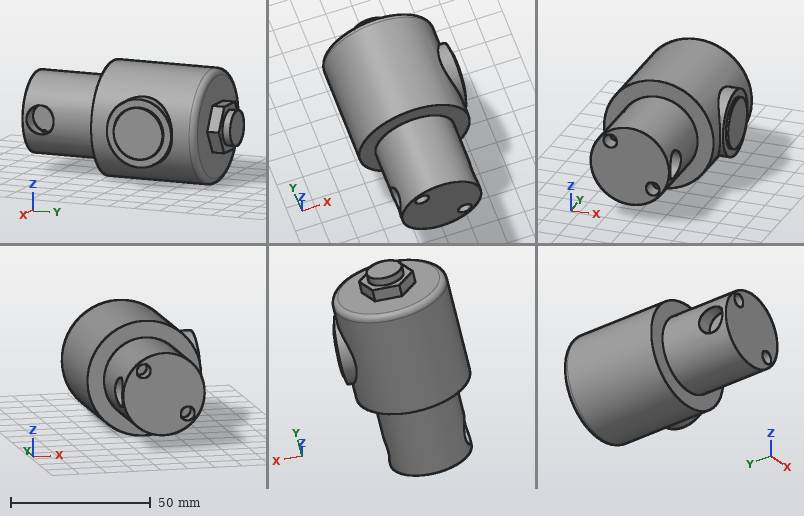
import cadquery as cq
import math

plug_length = 28.8
housing_start = 29.2
housing_end = 69.65
hex_end = 74.2
stud_end = 77.1

housing_diameter = 42.0
housing_fillet = 2.3
hex_across_flats = 17.05
stud_diameter = 12.95

port_y = 48.3
port_diameter = 25.0
port_reach = 22.05
port_lip_diameter = 19.0
port_lip_reach = 22.95

plug_diameter = 30.1
neck_diameter = 25.45
side_hole_diameter = 10.6
side_hole_y = 6.9
side_hole_depth = 6.2
face_hole_diameter = 5.1
face_hole_depth = 6.2
face_hole_near = 7.5
face_hole_far = 8.8


def y_cylinder(diameter, start, end):
    """Cylinder on the main axis between two positions along Y."""
    base = cq.Vector(0, start, 0)
    return cq.Workplane(cq.Solid.makeCylinder(diameter / 2, end - start, base, cq.Vector(0, 1, 0)))


def x_cylinder(diameter, y, start, end):
    """Cylinder parallel to X, at a given Y, running from start to end along X."""
    base = cq.Vector(start, y, 0)
    return cq.Workplane(cq.Solid.makeCylinder(diameter / 2, end - start, base, cq.Vector(1, 0, 0)))


def make_housing():
    """Round housing with a hexagon and stud on its back and a stepped port on its side."""
    barrel = y_cylinder(housing_diameter, housing_start, housing_end)
    barrel = barrel.faces(">Y").edges().fillet(housing_fillet)

    hex_across_corners = hex_across_flats / math.cos(math.pi / 6)
    hexagon = (
        cq.Workplane("XZ", origin=(0, housing_end, 0))
        .polygon(6, hex_across_corners)
        .extrude(housing_end - hex_end)
    )
    stud = y_cylinder(stud_diameter, hex_end, stud_end)

    port = x_cylinder(port_diameter, port_y, 0, port_reach)
    port_lip = x_cylinder(port_lip_diameter, port_y, port_reach, port_lip_reach)
    return barrel.union(hexagon).union(stud).union(port).union(port_lip)


def make_plug():
    """Cylindrical plug whose narrower neck meets the front face of the housing."""
    plug = y_cylinder(plug_diameter, 0, plug_length)
    plug = plug.union(y_cylinder(neck_diameter, plug_length, housing_start))

    plug_radius = plug_diameter / 2
    floor_x = plug_radius - side_hole_depth
    plug = plug.cut(x_cylinder(side_hole_diameter, side_hole_y, -plug_radius, -floor_x))
    plug = plug.cut(x_cylinder(side_hole_diameter, side_hole_y, floor_x, plug_radius))

    hole_centers = [(-face_hole_near, face_hole_far), (face_hole_far, -face_hole_near)]
    for x, z in hole_centers:
        hole = y_cylinder(face_hole_diameter, 0, face_hole_depth).translate((x, 0, z))
        plug = plug.cut(hole)
    return plug


housing = make_housing()
plug = make_plug()

result = cq.Compound.makeCompound([housing.val(), plug.val()])